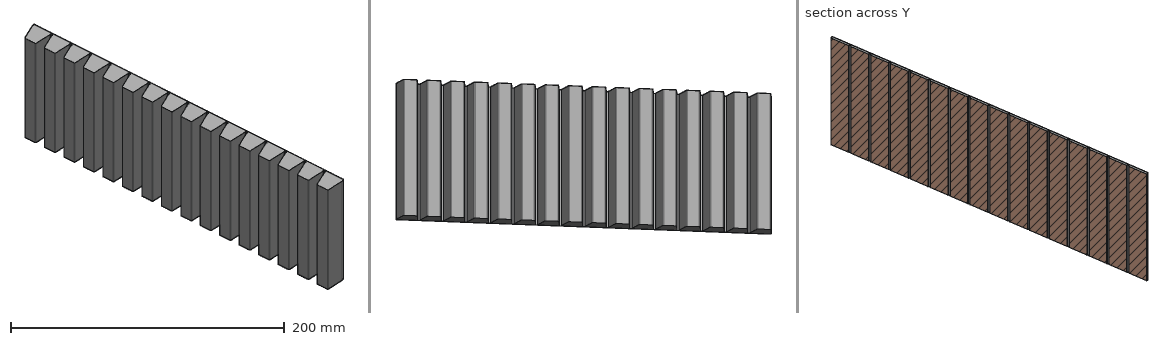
import cadquery as cq

length = 278.0
depth = 15.8
height = 101.7

rib_count = 16
groove_floor_width = 1.72
web_thickness = 1.2
straight_depth = 2.42
taper_inset = 2.95
tip_radius = 0.67
end_radius = 0.4

rib_root_width = (length - (rib_count - 1) * groove_floor_width) / rib_count
rib_tip_width = rib_root_width - 2 * taper_inset
rib_pitch = rib_root_width + groove_floor_width

back_y = depth / 2
groove_floor_y = back_y - web_thickness
taper_y = back_y - straight_depth
tip_y = -depth / 2


def rib_points(center_x):
    """Outline of one rib from its left root to its right root."""
    half_root = rib_root_width / 2
    half_tip = rib_tip_width / 2
    return [
        (center_x - half_root, groove_floor_y),
        (center_x - half_root, taper_y),
        (center_x - half_tip, tip_y),
        (center_x + half_tip, tip_y),
        (center_x + half_root, taper_y),
        (center_x + half_root, groove_floor_y),
    ]


def make_ribbed_panel():
    """Full cross-section with sharp corners, extruded along Z."""
    first_rib_x = (rib_root_width - length) / 2
    outline = [(-length / 2, back_y)]
    for index in range(rib_count):
        points = rib_points(first_rib_x + index * rib_pitch)
        if index == 0:
            points = points[1:]
        if index == rib_count - 1:
            points = points[:-1]
        outline += points
    outline.append((length / 2, back_y))
    return cq.Workplane("XY").polyline(outline).close().extrude(height / 2, both=True)


panel = make_ribbed_panel()
panel = panel.faces("<Y").edges("|Z").fillet(tip_radius)
result = panel.faces(">Y").edges("|Z").fillet(end_radius)